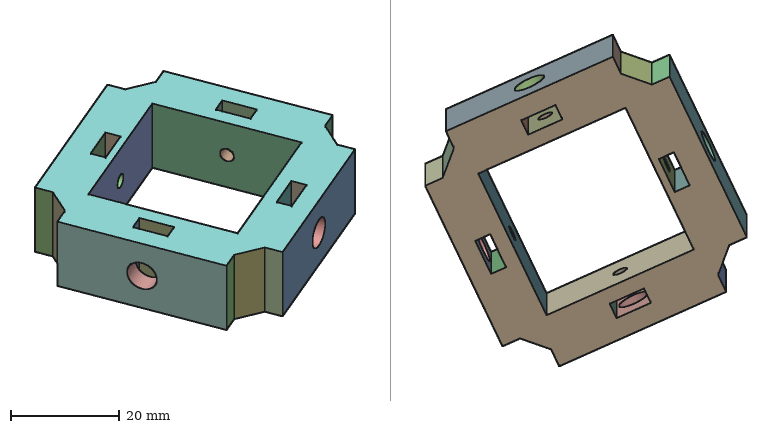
import cadquery as cq

outer_size = 49.8
height = 15.0
opening_size = 30.0

side_length = 34.0
step_depth = 3.6

hole_diameter = 2.8
counterbore_diameter = 6.0
counterbore_depth = 4.0

slot_length = 6.95
slot_width = 3.05
slot_offset = 19.4
left_slot_offset = 18.0

half_size = outer_size / 2
half_side = side_length / 2
step_end = half_size - step_depth


def make_frame():
    """Extrude the notched outline and cut the square opening."""
    corner = [
        (half_size, half_side),
        (step_end, half_side),
        (half_side, step_end),
        (half_side, half_size),
    ]
    outline = []
    for sign_x, sign_y in [(1, 1), (-1, 1), (-1, -1), (1, -1)]:
        points = [(sign_x * x, sign_y * y) for x, y in corner]
        outline += points if sign_x == sign_y else points[::-1]
    return (
        cq.Workplane("XY")
        .polyline(outline)
        .close()
        .rect(opening_size, opening_size)
        .extrude(height)
    )


def make_wall_cutter(offset):
    """Counterbored hole and nut slot for the wall on the +X side."""
    hole = (
        cq.Workplane("YZ", origin=(half_size, 0, height / 2))
        .circle(hole_diameter / 2)
        .extrude(-half_size)
    )
    counterbore = (
        cq.Workplane("YZ", origin=(half_size, 0, height / 2))
        .circle(counterbore_diameter / 2)
        .extrude(-counterbore_depth)
    )
    slot = (
        cq.Workplane("XY")
        .center(offset, 0)
        .rect(slot_width, slot_length)
        .extrude(height)
    )
    return hole.union(counterbore).union(slot)


result = make_frame()
wall_slot_offsets = [slot_offset, slot_offset, left_slot_offset, slot_offset]
for index, offset in enumerate(wall_slot_offsets):
    cutter = make_wall_cutter(offset).rotate((0, 0, 0), (0, 0, 1), 90 * index)
    result = result.cut(cutter)